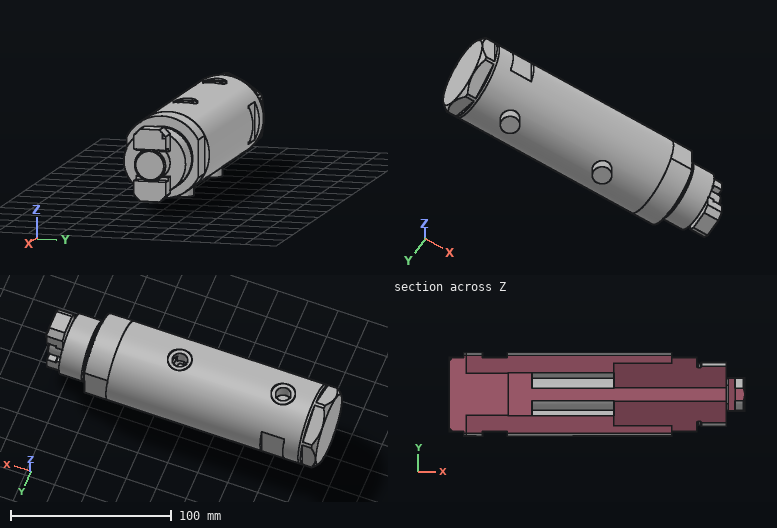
import cadquery as cq

total_length = 184.6
outer_radius = 26.0
bore_radius = 16.0
rod_radius = 10.0
flat_distance = 23.0
half_turns = (0, 180)
cut_margin = 1.8

cap_hex_end = 9.0
cap_flange_end = 10.7
cap_face_radius = 22.9
cap_bevel_length = 3.0
cap_plug_end = 37.0

barrel_end = 138.6
barrel_flat_start = 20.9
barrel_flat_length = 15.1
port_positions = (30.5, 99.3)
port_radius = 4.8
spotface_radius = 7.5
spotface_height = 24.7
stub_positions = (34.9, 102.5)
stub_radius = 6.0
stub_bottom = -33.5

gland_nose_start = 102.5
gland_nose_radius = 21.5
collar_end = 154.1
relief_radius = 19.2
relief_shoulder_radius = 19.5
relief_start = 154.9
relief_end = 156.4
boss_start = 157.3
boss_radius = 20.0
boss_end = 172.5

piston_length = 14.8
rod_end = 184.0
rod_bevel = 1.0
neck_half_height = 8.1
neck_end = 178.0

jaw_start = 173.5
jaw_half_width = 10.3
jaw_top = 22.9
jaw_bevel = 4.0
head_clearance = 0.1
nub_y = (8.3, 10.3)
nub_z = (17.5, 20.7)


def turned(profile):
    """Revolve a closed (x, radius) profile around the X axis."""
    return cq.Workplane("XZ").polyline(profile).close().revolve(360, (0, 0, 0), (1, 0, 0))


def rod_section(start, end, radius):
    """Solid round bar on the X axis."""
    return turned([(start, 0), (end, 0), (end, radius), (start, radius)])


def block(x_range, y_range, z_range):
    """Box given by its limits along the three axes."""
    limits = (x_range, y_range, z_range)
    sizes = [high - low for low, high in limits]
    corner = tuple(low for low, high in limits)
    return cq.Workplane("XY").box(*sizes, centered=False).translate(corner)


def turn(body, angle):
    """Rotate a body about the X axis."""
    return body.rotate((0, 0, 0), (1, 0, 0), angle)


def cut_both_sides(body, cutter):
    """Cut with a cutter and with its copy turned half a turn about the X axis."""
    for angle in half_turns:
        body = body.cut(turn(cutter, angle))
    return body


def cut_wrench_flats(body, start, end):
    """Cut a pair of opposite flats, square to Y, over a stretch of the axis."""
    depth_range = (flat_distance, outer_radius + cut_margin)
    height_range = (-outer_radius, outer_radius)
    return cut_both_sides(body, block((start, end), depth_range, height_range))


def make_cap():
    """Hexagon cap with a flange and a plug that reaches into the bore."""
    hexagon = cq.Workplane("YZ").polygon(6, 2 * flat_distance, circumscribed=True).extrude(cap_hex_end)
    rounded_corners = turned([
        (0, 0),
        (cap_hex_end, 0),
        (cap_hex_end, outer_radius),
        (cap_bevel_length, outer_radius),
        (0, cap_face_radius),
    ])
    flange = rod_section(cap_hex_end, cap_flange_end, outer_radius)
    plug = rod_section(cap_flange_end, cap_plug_end, bore_radius)
    return hexagon.intersect(rounded_corners).union(flange).union(plug)


def make_barrel():
    """Tube with a stepped bore, wrench flats, two spotfaced ports on top and two stubs below."""
    barrel = rod_section(cap_flange_end, barrel_end, outer_radius)
    barrel = cut_wrench_flats(barrel, barrel_flat_start, barrel_flat_start + barrel_flat_length)
    for x in stub_positions:
        stub = cq.Workplane("XY", origin=(x, 0, stub_bottom)).circle(stub_radius).extrude(-stub_bottom)
        barrel = barrel.union(stub)
    for x in port_positions:
        spotface = cq.Workplane("XY", origin=(x, 0, spotface_height)).circle(spotface_radius)
        port = cq.Workplane("XY", origin=(x, 0, 0)).circle(port_radius)
        barrel = barrel.cut(spotface.extrude(outer_radius)).cut(port.extrude(outer_radius))
    barrel = barrel.cut(rod_section(cap_flange_end, barrel_end, bore_radius))
    return barrel.cut(rod_section(gland_nose_start, barrel_end, gland_nose_radius))


def make_gland():
    """Rod guide: nose inside the wide end of the bore, collar with flats, relief groove and front boss."""
    gland = turned([
        (gland_nose_start, rod_radius),
        (gland_nose_start, gland_nose_radius),
        (barrel_end, gland_nose_radius),
        (barrel_end, outer_radius),
        (collar_end, outer_radius),
        (collar_end, relief_shoulder_radius),
        (relief_start, relief_radius),
        (relief_end, relief_radius),
        (boss_start, boss_radius),
        (boss_end, boss_radius),
        (boss_end, rod_radius),
    ])
    return cut_wrench_flats(gland, barrel_end, collar_end)


def make_piston_rod():
    """Piston and rod; the rod end has a neck with two flats behind a round head."""
    piston_end = cap_plug_end + piston_length
    rod = turned([
        (cap_plug_end, 0),
        (cap_plug_end, bore_radius),
        (piston_end, bore_radius),
        (piston_end, rod_radius),
        (rod_end - rod_bevel, rod_radius),
        (rod_end, rod_radius - rod_bevel),
        (rod_end, 0),
    ])
    flat_depth = (neck_half_height, rod_radius + cut_margin)
    flat = block((boss_end, neck_end), (-rod_radius, rod_radius), flat_depth)
    return cut_both_sides(rod, flat)


def make_jaw():
    """Upper coupling jaw: a bevelled block whose foot hooks behind the rod head."""
    outline = [
        (-jaw_half_width, neck_half_height),
        (jaw_half_width, neck_half_height),
        (jaw_half_width, jaw_top - jaw_bevel),
        (jaw_half_width - jaw_bevel, jaw_top),
        (jaw_bevel - jaw_half_width, jaw_top),
        (-jaw_half_width, jaw_top - jaw_bevel),
    ]
    jaw = cq.Workplane("YZ", origin=(jaw_start, 0, 0)).polyline(outline).close().extrude(rod_end - jaw_start)
    head_space = block(
        (neck_end, rod_end),
        (-jaw_half_width, jaw_half_width),
        (neck_half_height, rod_radius + head_clearance),
    )
    return jaw.cut(head_space)


def make_nub(jaw):
    """Small raised pad on the end face of the upper jaw, following its bevel."""
    height = total_length - rod_end
    pad = block((rod_end - height, rod_end), nub_y, nub_z).intersect(jaw)
    return pad.translate((height, 0, 0))


cap = make_cap()
barrel = make_barrel()
gland = make_gland()
piston_rod = make_piston_rod()

jaws = [turn(make_jaw(), angle) for angle in half_turns]
jaws[0] = jaws[0].union(make_nub(jaws[0]))

bodies = [cap, barrel, gland, piston_rod, *jaws]
result = cq.Compound.makeCompound([body.solids().val() for body in bodies])